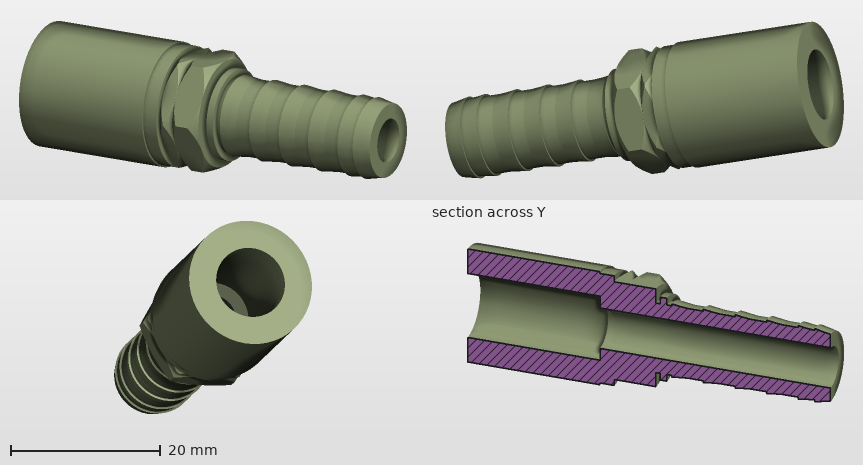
import cadquery as cq
import math


shell_diameter = 17.0
shell_length = 19.0
shoulder_diameter = 16.5
shoulder_length = 2.05

hex_across_corners = 16.95
hex_inscribed_radius = hex_across_corners / 2 * math.cos(math.pi / 6)
narrow_hex_length = 2.0
wide_hex_length = 4.0
hex_chamfer_length = 1.1

total_length = 52
tail_diameter = 10.5
collar_diameter = 12.5
collar_gap = 0.55
collar_width = 1.0
barb_diameter = 11.1
barb_count = 5
barb_pitch = 4.5
barb_length = 2.35
nose_length = 2.35
nose_end_diameter = 10.1

through_bore_diameter = 6.0
socket_diameter = 9.5
socket_depth = shell_length

shoulder_end = shell_length + shoulder_length
narrow_hex_end = shoulder_end + narrow_hex_length
wide_hex_end = narrow_hex_end + wide_hex_length
collar_start = wide_hex_end + collar_gap
nose_start = total_length - nose_length
first_barb_start = nose_start - barb_length - (barb_count - 1) * barb_pitch


def cylinder(start, end, diameter):
    """Solid cylinder along X between two positions."""
    return cq.Workplane("YZ").workplane(offset=start).circle(diameter / 2).extrude(end - start)


def cone(start, end, start_diameter, end_diameter):
    """Solid truncated cone along X between two positions."""
    profile = [
        (start, 0),
        (start, start_diameter / 2),
        (end, end_diameter / 2),
        (end, 0),
    ]
    return cq.Workplane("XY").polyline(profile).close().revolve(360, (0, 0, 0), (1, 0, 0))


def chamfered_hex(start, end):
    """Hexagon with corners on Y, its corners turned down to the flats at both ends."""
    length = end - start
    prism = (
        cq.Workplane("YZ").workplane(offset=start).polygon(6, hex_across_corners).extrude(length)
    )
    chamfer_run = min(hex_chamfer_length, length / 2)
    chamfer_slope = (hex_across_corners / 2 - hex_inscribed_radius) / hex_chamfer_length
    peak_diameter = 2 * (hex_inscribed_radius + chamfer_run * chamfer_slope)
    end_diameter = 2 * hex_inscribed_radius
    turned = cone(start, start + chamfer_run, end_diameter, peak_diameter)
    turned = turned.union(cone(end - chamfer_run, end, peak_diameter, end_diameter))
    if length > 2 * chamfer_run:
        turned = turned.union(cylinder(start + chamfer_run, end - chamfer_run, peak_diameter))
    return prism.intersect(turned)


body = cylinder(0, shell_length, shell_diameter)
body = body.union(cylinder(shell_length, shoulder_end, shoulder_diameter))

body = body.union(chamfered_hex(shoulder_end, narrow_hex_end))
body = body.union(chamfered_hex(narrow_hex_end, wide_hex_end))

body = body.union(cylinder(wide_hex_end, nose_start, tail_diameter))
body = body.union(cylinder(collar_start, collar_start + collar_width, collar_diameter))

for barb_index in range(barb_count):
    barb_start = first_barb_start + barb_index * barb_pitch
    body = body.union(cone(barb_start, barb_start + barb_length, barb_diameter, tail_diameter))

body = body.union(cone(nose_start, total_length, barb_diameter, nose_end_diameter))

body = body.cut(cylinder(0, total_length, through_bore_diameter))
result = body.cut(cylinder(0, socket_depth, socket_diameter))